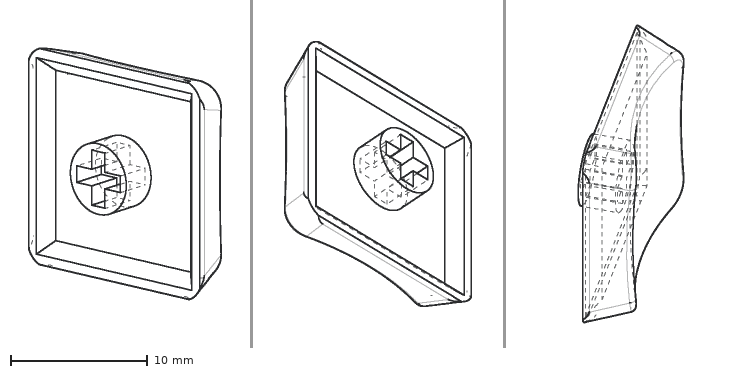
import cadquery as cq
import math


cap_size = 16.5
skirt_height = 0.5
wall_slope = 0.29
corner_radius = 1.98
blank_height = 4.95
top_edge_radius = 0.5

dish_floor_height = 1.96
dish_radius_x = 16.5
dish_radius_z = 64.02

pocket_opening = 15.0
pocket_floor_size = 13.0
pocket_depth = 1.0
stem_diameter = 5.4
stem_projection = 1.8
cross_length = 4.2
cross_width = 1.27
cross_depth = stem_projection + pocket_depth


def plane_at(height):
    """Plane parallel to the rim, facing +Y, with local X along the part's X."""
    return cq.Workplane(cq.Plane(origin=(0, height, 0), xDir=(1, 0, 0), normal=(0, 1, 0)))


def frustum(base_size, end_size, height):
    """Square frustum standing on the rim plane."""
    return (
        plane_at(0)
        .rect(base_size, base_size)
        .workplane(offset=height)
        .rect(end_size, end_size)
        .loft(ruled=True)
    )


def make_dish_cutter():
    """Solid of revolution whose underside is curved in both X and Z."""
    half_width = 0.7 * cap_size
    side_height = dish_floor_height + dish_radius_x - math.sqrt(dish_radius_x**2 - half_width**2)
    ceiling = side_height + blank_height
    axis_height = dish_floor_height + dish_radius_z
    return (
        cq.Workplane("XY")
        .moveTo(-half_width, side_height)
        .threePointArc((0, dish_floor_height), (half_width, side_height))
        .lineTo(half_width, ceiling)
        .lineTo(-half_width, ceiling)
        .close()
        .revolve(360, (0, axis_height, 0), (1, axis_height, 0))
    )


def make_cap():
    """Tapered, dished body with rounded corners and a straight skirt."""
    base_size = cap_size + 2 * wall_slope * skirt_height
    end_size = base_size - 2 * wall_slope * blank_height
    body = frustum(base_size, end_size, blank_height)
    body = body.edges("not(|X or |Z)").fillet(corner_radius)
    body = body.cut(make_dish_cutter())
    body = body.faces(">Y").edges().fillet(top_edge_radius)
    skirt_limit = plane_at(0).rect(cap_size, cap_size).extrude(blank_height)
    return body.intersect(skirt_limit)


def make_stem():
    """Round post from the pocket floor to beyond the rim."""
    return plane_at(-stem_projection).circle(stem_diameter / 2).extrude(stem_projection + pocket_depth)


def make_cross():
    """Cross-shaped socket in the end of the stem."""
    end = plane_at(-stem_projection)
    bar = end.rect(cross_length, cross_width).extrude(cross_depth)
    return bar.union(end.rect(cross_width, cross_length).extrude(cross_depth))


pocket = frustum(pocket_opening, pocket_floor_size, pocket_depth)
result = make_cap().cut(pocket).union(make_stem()).cut(make_cross())